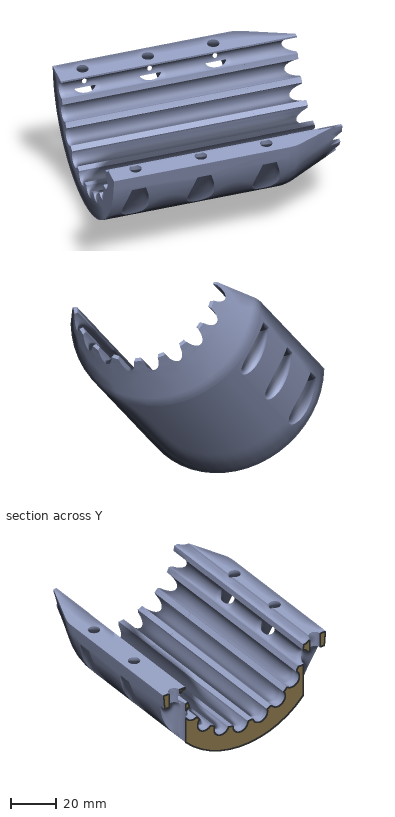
import cadquery as cq
import math

length = 110.0
outer_radius = 44.5
split_z = -1.0

nose_start_y = 85.0
nose_end_radius = 34.0
nose_blend_radius = 15.0

bore_radius = 32.5
nose_bore_radius = 32.35

groove_count = 19
groove_radius = 4.0
groove_phase = -3.87

screw_x = 38.5
screw_diameter = 5.5
screw_first_y = 12.0
screw_pitch = 30.5
screws_per_side = 3
head_diameter = 12.2
head_seat_z = -8.5


def cylinder_along_y(radius, start_y, end_y, x=0.0, z=0.0):
    return cq.Workplane("XZ", origin=(x, start_y, z)).circle(radius).extrude(start_y - end_y)


def cylinder_down(diameter, x, y, top_z, bottom_z):
    return cq.Workplane("XY", origin=(x, y, top_z)).circle(diameter / 2).extrude(bottom_z - top_z)


def make_outer_body():
    """Revolve the outer profile about Y, with an arc blending cylinder and cone."""
    taper_angle = math.atan2(outer_radius - nose_end_radius, length - nose_start_y)
    tangent_length = nose_blend_radius * math.tan(taper_angle / 2)
    blend_center_radius = outer_radius - nose_blend_radius
    blend_start_y = nose_start_y - tangent_length

    def blend_point(angle):
        return (
            blend_center_radius + nose_blend_radius * math.cos(angle),
            blend_start_y + nose_blend_radius * math.sin(angle),
        )

    profile = (
        cq.Workplane("XY")
        .moveTo(0, 0)
        .lineTo(outer_radius, 0)
        .lineTo(outer_radius, blend_start_y)
        .threePointArc(blend_point(taper_angle / 2), blend_point(taper_angle))
        .lineTo(nose_end_radius, length)
        .lineTo(0, length)
        .close()
    )
    return profile.revolve(360, (0, 0, 0), (0, 1, 0))


def keep_lower_half(body):
    upper_half = cq.Workplane("XY", origin=(0, length / 2, split_z)).box(
        2 * outer_radius, length, 2 * outer_radius, centered=(True, True, False)
    )
    return body.cut(upper_half)


def cut_bore(body):
    body = body.cut(cylinder_along_y(bore_radius, 0, nose_start_y))
    return body.cut(cylinder_along_y(nose_bore_radius, nose_start_y, length))


def cut_grooves(body):
    """Round grooves centred on the bore surface, running the full length."""
    groove_pitch = 360.0 / groove_count
    for index in range(groove_count):
        angle = math.radians(groove_phase + index * groove_pitch)
        groove_x = bore_radius * math.sin(angle)
        groove_z = -bore_radius * math.cos(angle)
        body = body.cut(cylinder_along_y(groove_radius, 0, length, groove_x, groove_z))
    return body


def cut_screw_holes(body):
    """Screw holes from the split faces, opening into head pockets in the outer wall."""
    for x in (-screw_x, screw_x):
        for index in range(screws_per_side):
            y = screw_first_y + index * screw_pitch
            body = body.cut(cylinder_down(screw_diameter, x, y, split_z, head_seat_z))
            body = body.cut(cylinder_down(head_diameter, x, y, head_seat_z, -outer_radius))
    return body


shell = keep_lower_half(make_outer_body())
shell = cut_bore(shell)
shell = cut_grooves(shell)
result = cut_screw_holes(shell)